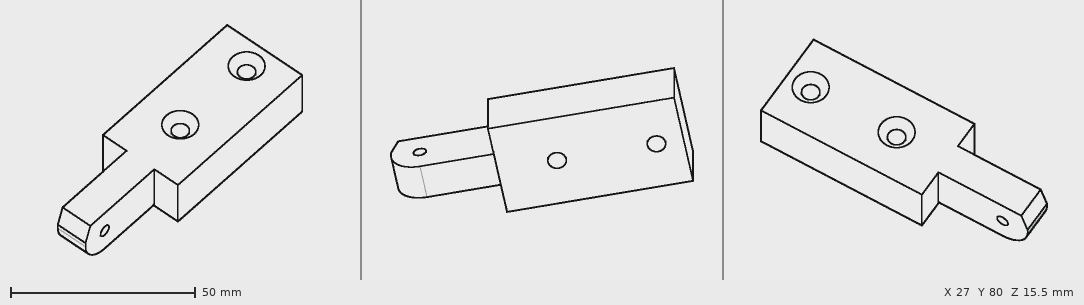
import cadquery as cq
import math

block_width = 27.0
block_length = 51.5
block_height = 15.5

tongue_width = 10.0
tongue_length = 28.5
tongue_step = 0.5

tip_radius = 8.0
flat_height = 1.5
slope_run = 2.0
pin_diameter = 3.5
pin_setback = tip_radius
pin_drop = 7.5

screw_diameter = 5.0
countersink_diameter = 10.0
countersink_angle = 90.0
screw_setback = 7.5
screw_spacing = 27.5

block_front = tongue_length
block_rear = tongue_length + block_length


def make_block():
    block = cq.Workplane("XY").box(
        block_width, block_length, block_height, centered=(True, False, False)
    )
    return block.translate((0, block_front, 0))


def make_tongue():
    bottom = tongue_step
    arc_top = bottom + tip_radius
    arc_offset = tip_radius * (1 - math.sqrt(0.5))
    profile = (
        cq.Workplane("YZ")
        .moveTo(block_front, bottom)
        .lineTo(tip_radius, bottom)
        .threePointArc((arc_offset, bottom + arc_offset), (0, arc_top))
        .lineTo(0, arc_top + flat_height)
        .lineTo(slope_run, block_height)
        .lineTo(block_front, block_height)
        .close()
    )
    return profile.extrude(tongue_width / 2, both=True)


def make_pin_hole():
    return (
        cq.Workplane("YZ")
        .center(pin_setback, block_height - pin_drop)
        .circle(pin_diameter / 2)
        .extrude(tongue_width / 2, both=True)
    )


def cut_screw_holes(body):
    rear_hole_y = block_rear - screw_setback
    hole_centres = [(0, rear_hole_y), (0, rear_hole_y - screw_spacing)]
    return (
        body.faces(">Z")
        .workplane(origin=(0, 0, block_height))
        .pushPoints(hole_centres)
        .cskHole(screw_diameter, countersink_diameter, countersink_angle)
    )


result = cut_screw_holes(make_block().union(make_tongue()).cut(make_pin_hole()))